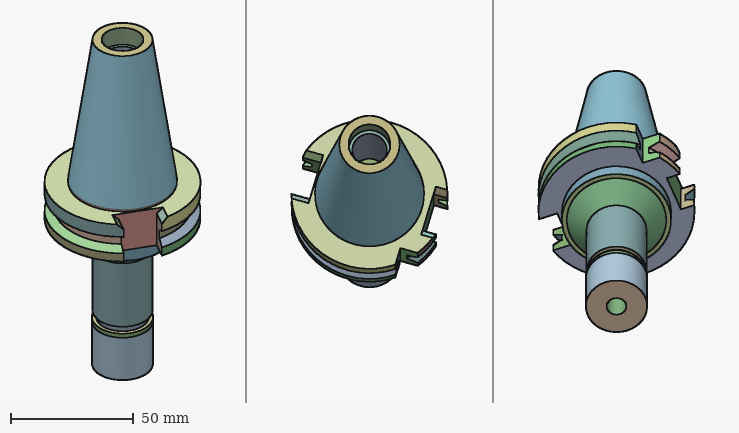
import cadquery as cq
import math


GAUGE_DIAMETER = 44.45
TAPER_LENGTH = 68.4
TAPER_RATE = 7 / 24
TAPER_END_DIAMETER = GAUGE_DIAMETER - TAPER_LENGTH * TAPER_RATE

FLANGE_DIAMETER = 63.55
FLANGE_TOP_Z = -1.0
FLANGE_BOTTOM_Z = -19.1
GROOVE_CENTER_Z = -11.1
GROOVE_FLOOR_DIAMETER = 56.25
GROOVE_FLOOR_WIDTH = 3.75
GROOVE_WALL_ANGLE = 30

SLOT_WIDTH = 16.1
SLOT_CHAMFER = 2.6
LEFT_SLOT_FLOOR_X = -25.0
RIGHT_SLOT_FLOOR_X = 22.8
NOTCH_OFFSET = 18.5

COLLAR_BOTTOM_Z = -25.0
CONE_ANGLE = 45
CONE_BOTTOM_Z = -33.0
SHANK_DIAMETER = 24.5
SHANK_BOTTOM_Z = -64.0
NECK_DIAMETER = 21.5

TOOL_END_Z = -90.0
RING_TOP_Z = -67.2
RING_THICKNESS = 2.0
RING_BOTTOM_Z = RING_TOP_Z - RING_THICKNESS
NUT_DIAMETER = 25.0

THROUGH_DIAMETER = 8.0
THREAD_BORE_DIAMETER = 14.0
THREAD_BORE_DEPTH = 43.0
ENTRY_DIAMETER = 17.0
ENTRY_DEPTH = 8.2


def tube(diameter, bottom_z, top_z):
    """Cylinder on the axis, pierced by the through hole."""
    return (
        cq.Workplane("XY", origin=(0, 0, bottom_z))
        .circle(diameter / 2)
        .circle(THROUGH_DIAMETER / 2)
        .extrude(top_z - bottom_z)
    )


def drill_from_top(diameter, depth):
    """Cutter for a flat-bottomed bore in the small end of the taper."""
    return cq.Workplane("XY", origin=(0, 0, TAPER_LENGTH - depth)).circle(diameter / 2).extrude(depth)


def turned_body():
    """Revolved outline of taper, flange, shank and neck, with the through hole."""
    bore_radius = THROUGH_DIAMETER / 2
    gauge_radius = GAUGE_DIAMETER / 2
    flange_radius = FLANGE_DIAMETER / 2
    groove_radius = GROOVE_FLOOR_DIAMETER / 2
    shank_radius = SHANK_DIAMETER / 2
    neck_radius = NECK_DIAMETER / 2

    half_floor = GROOVE_FLOOR_WIDTH / 2
    wall_rise = (flange_radius - groove_radius) * math.tan(math.radians(GROOVE_WALL_ANGLE))
    half_mouth = half_floor + wall_rise
    cone_height = COLLAR_BOTTOM_Z - CONE_BOTTOM_Z
    cone_top_radius = shank_radius + cone_height * math.tan(math.radians(CONE_ANGLE))

    outline = [
        (bore_radius, TAPER_LENGTH),
        (TAPER_END_DIAMETER / 2, TAPER_LENGTH),
        (gauge_radius, 0),
        (gauge_radius, FLANGE_TOP_Z),
        (flange_radius, FLANGE_TOP_Z),
        (flange_radius, GROOVE_CENTER_Z + half_mouth),
        (groove_radius, GROOVE_CENTER_Z + half_floor),
        (groove_radius, GROOVE_CENTER_Z - half_floor),
        (flange_radius, GROOVE_CENTER_Z - half_mouth),
        (flange_radius, FLANGE_BOTTOM_Z),
        (gauge_radius, FLANGE_BOTTOM_Z),
        (gauge_radius, COLLAR_BOTTOM_Z),
        (cone_top_radius, COLLAR_BOTTOM_Z),
        (shank_radius, CONE_BOTTOM_Z),
        (shank_radius, SHANK_BOTTOM_Z),
        (neck_radius, SHANK_BOTTOM_Z),
        (neck_radius, RING_TOP_Z),
        (bore_radius, RING_TOP_Z),
    ]
    return cq.Workplane("XZ").polyline(outline).close().revolve(360, (0, 0), (0, 1))


def drive_slot(floor_x):
    """Cutter for a slot running outward from floor_x, its upper edges chamfered."""
    half_width = SLOT_WIDTH / 2
    half_mouth = half_width + SLOT_CHAMFER
    chamfer_bottom_z = FLANGE_TOP_Z - SLOT_CHAMFER
    section = [
        (-half_width, FLANGE_BOTTOM_Z),
        (half_width, FLANGE_BOTTOM_Z),
        (half_width, chamfer_bottom_z),
        (half_mouth, FLANGE_TOP_Z),
        (-half_mouth, FLANGE_TOP_Z),
        (-half_width, chamfer_bottom_z),
    ]
    outward = math.copysign(FLANGE_DIAMETER / 2, floor_x)
    return cq.Workplane("YZ", origin=(floor_x, 0, 0)).polyline(section).close().extrude(outward)


def orientation_notch():
    """Cutter for the square notch through the flange on the -X, +Y side."""
    size = FLANGE_DIAMETER / 2
    return (
        cq.Workplane("XY", origin=(-NOTCH_OFFSET, NOTCH_OFFSET, FLANGE_BOTTOM_Z))
        .rect(-size, size, centered=False)
        .extrude(FLANGE_TOP_Z - FLANGE_BOTTOM_Z)
    )


holder = turned_body()
holder = holder.cut(drill_from_top(THREAD_BORE_DIAMETER, THREAD_BORE_DEPTH))
holder = holder.cut(drill_from_top(ENTRY_DIAMETER, ENTRY_DEPTH))
for slot_floor_x in (LEFT_SLOT_FLOOR_X, RIGHT_SLOT_FLOOR_X):
    holder = holder.cut(drive_slot(slot_floor_x))
holder = holder.cut(orientation_notch())

clamping_ring = tube(NUT_DIAMETER, RING_BOTTOM_Z, RING_TOP_Z)
nut = tube(NUT_DIAMETER, TOOL_END_Z, RING_BOTTOM_Z)

result = cq.Compound.makeCompound([holder.val(), clamping_ring.val(), nut.val()])